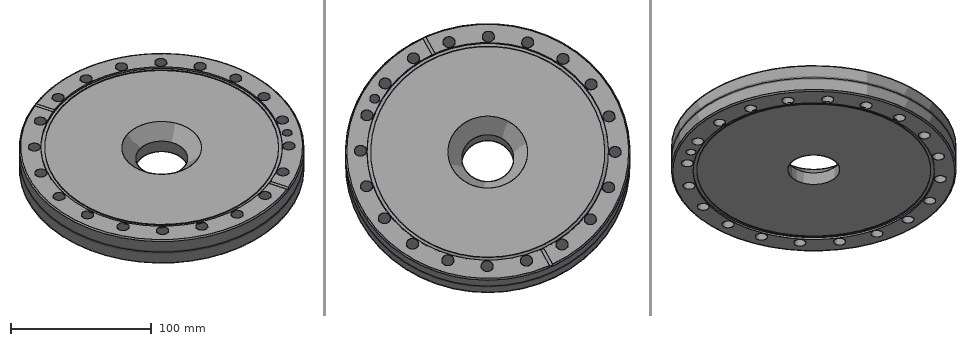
import cadquery as cq
import math

flange_radius = 101.2
flange_thickness = 22.3
rim_chamfer = 1.0
half_thickness = flange_thickness / 2

rim_groove_width = 1.8
rim_groove_depth = 0.2

recess_radius = 85.8
recess_depth = 1.2
sealing_edge_radius = 83.2
sealing_edge_height = 0.6
sealing_slope_angle = 20.0

bore_radius = 18.5
bore_mouth_radius = 28.3
bore_mouth_depth = 10.0

bolt_count = 20
bolt_circle_radius = 90.5
bolt_hole_diameter = 8.5
pin_hole_diameter = 6.9
pin_hole_angle = 45.0

leak_groove_radius = 1.6
leak_groove_width = 2.5
bolt_pitch_angle = 360.0 / bolt_count
leak_groove_angles = [bolt_pitch_angle / 2, bolt_pitch_angle / 2 + 180.0]


def flange_body():
    """Revolve the half section of the flange about the Z axis."""
    centre_face_z = half_thickness - recess_depth
    sealing_edge_z = centre_face_z + sealing_edge_height
    slope_drop = (recess_radius - sealing_edge_radius) * math.tan(math.radians(sealing_slope_angle))
    rim_top_z = half_thickness - rim_chamfer
    rim_face_radius = flange_radius - rim_chamfer
    half_section = [
        (bore_radius, -centre_face_z),
        (sealing_edge_radius, -centre_face_z),
        (sealing_edge_radius, -sealing_edge_z),
        (recess_radius, slope_drop - sealing_edge_z),
        (recess_radius, -half_thickness),
        (rim_face_radius, -half_thickness),
        (flange_radius, -rim_top_z),
        (flange_radius, -rim_groove_width / 2),
        (flange_radius - rim_groove_depth, 0),
        (flange_radius, rim_groove_width / 2),
        (flange_radius, rim_top_z),
        (rim_face_radius, half_thickness),
        (recess_radius, half_thickness),
        (recess_radius, sealing_edge_z - slope_drop),
        (sealing_edge_radius, sealing_edge_z),
        (sealing_edge_radius, centre_face_z),
        (bore_mouth_radius, centre_face_z),
        (bore_radius, centre_face_z - bore_mouth_depth),
    ]
    return cq.Workplane("XZ").polyline(half_section).close().revolve(360, (0, 0), (0, 1))


def through_hole(diameter, angle):
    """Return a cutter for a through hole on the bolt circle."""
    x = bolt_circle_radius * math.cos(math.radians(angle))
    y = bolt_circle_radius * math.sin(math.radians(angle))
    return (
        cq.Workplane("XY", origin=(x, y, -half_thickness))
        .circle(diameter / 2)
        .extrude(flange_thickness)
    )


def leak_groove(angle):
    """Return a radial cylinder that dips into the top face, from the recess out to the rim."""
    start_radius = (sealing_edge_radius + recess_radius) / 2
    axis_height = math.sqrt(leak_groove_radius**2 - (leak_groove_width / 2) ** 2)
    return (
        cq.Workplane("YZ", origin=(start_radius, 0, half_thickness + axis_height))
        .circle(leak_groove_radius)
        .extrude(flange_radius - start_radius)
        .rotate((0, 0, 0), (0, 0, 1), angle)
    )


result = flange_body()
for bolt_index in range(bolt_count):
    result = result.cut(through_hole(bolt_hole_diameter, bolt_index * bolt_pitch_angle))
result = result.cut(through_hole(pin_hole_diameter, pin_hole_angle))
for groove_angle in leak_groove_angles:
    result = result.cut(leak_groove(groove_angle))